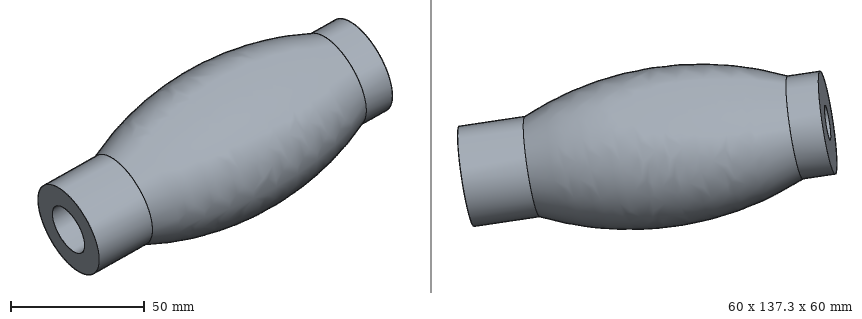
import cadquery as cq

front_collar_length = 25.0
barrel_length = 100.0
rear_collar_length = 12.3

front_collar_diameter = 38.0
barrel_diameter = 60.0
rear_collar_diameter = 39.0

bore_diameter = 20.0
through_hole_diameter = 13.0
bore_floor_fillet = (bore_diameter - through_hole_diameter) / 2

barrel_start = front_collar_length
barrel_middle = barrel_start + barrel_length / 2
barrel_end = barrel_start + barrel_length
total_length = barrel_end + rear_collar_length
bore_depth = barrel_end


def make_body():
    """Solid of revolution: front collar, bulging barrel, rear collar."""
    front_radius = front_collar_diameter / 2
    rear_radius = rear_collar_diameter / 2
    profile = (
        cq.Workplane("XY")
        .lineTo(front_radius, 0)
        .lineTo(front_radius, barrel_start)
        .threePointArc((barrel_diameter / 2, barrel_middle), (rear_radius, barrel_end))
        .lineTo(rear_radius, total_length)
        .lineTo(0, total_length)
        .close()
    )
    return profile.revolve(360, (0, 0, 0), (0, 1, 0))


def make_bore():
    """Wide bore whose floor curves in to a narrow hole through the rear."""
    wide_bore = (
        cq.Workplane("XZ")
        .circle(bore_diameter / 2)
        .extrude(-bore_depth)
        .faces(">Y")
        .edges()
        .fillet(bore_floor_fillet)
    )
    narrow_hole = cq.Workplane("XZ").circle(through_hole_diameter / 2).extrude(-total_length)
    return wide_bore.union(narrow_hole)


result = make_body().cut(make_bore())